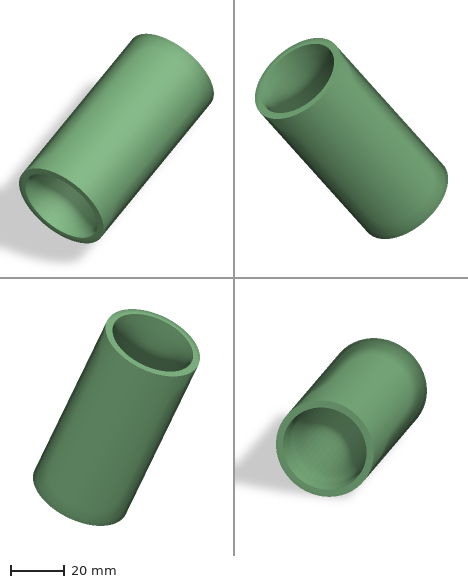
import cadquery as cq

length = 75.0
outer_diameter = 38.0
wall_thickness = 2.8
inner_diameter = outer_diameter - 2 * wall_thickness

result = (
    cq.Workplane("XZ", origin=(0, length / 2, 0))
    .circle(outer_diameter / 2)
    .circle(inner_diameter / 2)
    .extrude(length)
)